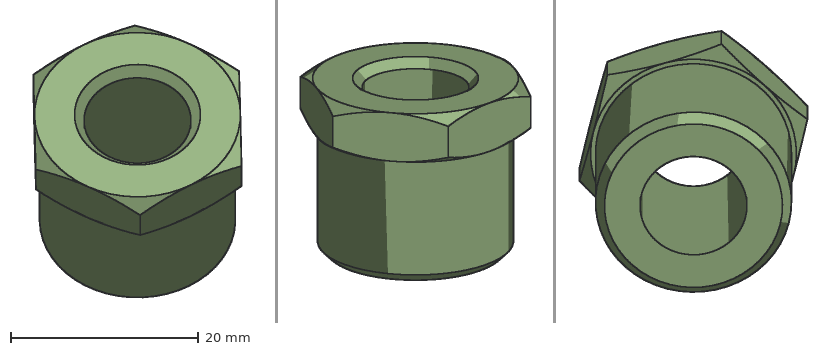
import cadquery as cq
import math

hex_across_corners = 25.4
hex_across_flats = hex_across_corners * math.cos(math.radians(30))
total_height = 19.5
head_height = 5.5
corner_chamfer_angle = 30.0
body_diameter = 20.95
body_chamfer = 0.97
bore_diameter = 11.43
countersink_diameter = 13.45

body_height = total_height - head_height
corner_drop = (
    (hex_across_corners - hex_across_flats) / 2 * math.tan(math.radians(corner_chamfer_angle))
)
countersink_depth = (countersink_diameter - bore_diameter) / 2


def revolve_about_z(points):
    """Revolve a closed (radius, z) outline around the Z axis."""
    return cq.Workplane("XZ").polyline(points).close().revolve(360, (0, 0, 0), (0, 1, 0))


def make_head():
    """Hexagon with corners on +Y and -Y, chamfered conically at both ends."""
    prism = (
        cq.Workplane("XY", origin=(0, 0, body_height))
        .polygon(6, hex_across_corners)
        .extrude(head_height)
        .rotate((0, 0, 0), (0, 0, 1), 90)
    )
    corner_radius = hex_across_corners / 2
    flat_radius = hex_across_flats / 2
    chamfer_envelope = revolve_about_z([
        (0, body_height),
        (flat_radius, body_height),
        (corner_radius, body_height + corner_drop),
        (corner_radius, total_height - corner_drop),
        (flat_radius, total_height),
        (0, total_height),
    ])
    return prism.intersect(chamfer_envelope)


def make_body():
    """Round shank with a chamfered lower end."""
    return (
        cq.Workplane("XY")
        .circle(body_diameter / 2)
        .extrude(body_height)
        .faces("<Z")
        .chamfer(body_chamfer)
    )


def make_bore():
    """Through bore with a countersunk mouth in the head."""
    bore_radius = bore_diameter / 2
    return revolve_about_z([
        (0, 0),
        (bore_radius, 0),
        (bore_radius, total_height - countersink_depth),
        (countersink_diameter / 2, total_height),
        (0, total_height),
    ])


result = make_body().union(make_head()).cut(make_bore())